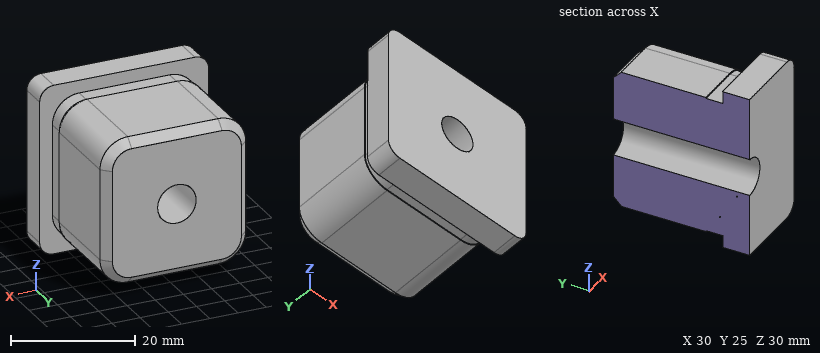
import cadquery as cq

flange_width = 30.0
flange_thickness = 4.98
flange_corner_radius = 2.5

total_depth = 25.0
plug_width = 25.85
plug_corner_radius = 4.92
plug_chamfer = 1.5
neck_depth = 3.0
neck_step = 0.18

hole_diameter = 6.8

neck_width = plug_width - 2 * neck_step
neck_corner_radius = plug_corner_radius - neck_step
neck_start = flange_thickness
plug_start = neck_start + neck_depth
plug_depth = total_depth - plug_start


def rounded_square(width, depth, corner_radius, start):
    """Square block centred on the Y axis, running back from Y = start, with rounded edges along Y."""
    block = cq.Workplane("XY").box(width, depth, width, centered=(True, False, True))
    return block.edges("|Y").fillet(corner_radius).translate((0, start, 0))


flange = rounded_square(flange_width, flange_thickness, flange_corner_radius, 0)
neck = rounded_square(neck_width, neck_depth, neck_corner_radius, neck_start)
plug = rounded_square(plug_width, plug_depth, plug_corner_radius, plug_start)
plug = plug.faces(">Y").chamfer(plug_chamfer)

hole = cq.Workplane("XZ").circle(hole_diameter / 2).extrude(-total_depth)

result = flange.union(neck).union(plug).cut(hole)